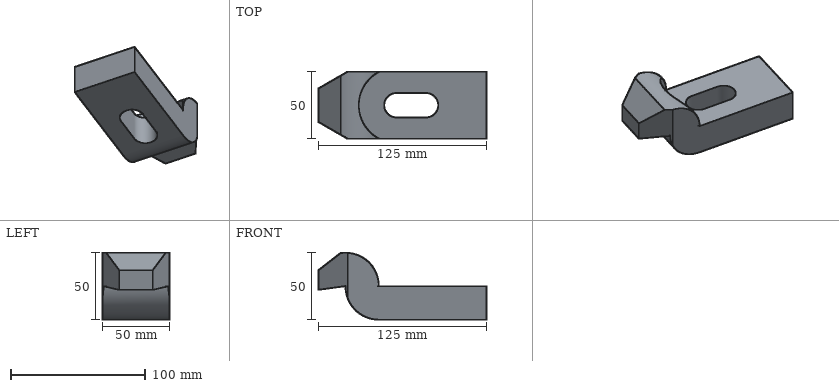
import cadquery as cq
import math

length = 125.0
width = 50.0
thickness = 25.0
height = 2 * thickness

heel_x = 20.0
nose_bottom = 22.2
nose_top = 37.0
nose_width = 25.0
nose_side_angle = 30.0
slope_end_x = 16.5

slot_width = 18.0
slot_length = 40.0
slot_center_x = 69.0
clearance_radius = 28.0

bend_end_x = heel_x + thickness
slope_end_z = thickness + math.sqrt(thickness**2 - (heel_x - slope_end_x) ** 2)
diagonal = thickness * math.sqrt(0.5)


def make_body():
    """Gooseneck side profile extruded across the full width."""
    return (
        cq.Workplane("XZ")
        .moveTo(0, nose_bottom)
        .lineTo(heel_x, thickness)
        .threePointArc((bend_end_x - diagonal, thickness - diagonal), (bend_end_x, 0))
        .lineTo(length, 0)
        .lineTo(length, thickness)
        .lineTo(bend_end_x, thickness)
        .threePointArc((heel_x + diagonal, thickness + diagonal), (slope_end_x, slope_end_z))
        .lineTo(0, nose_top)
        .close()
        .extrude(width / 2, both=True)
    )


def make_nose_cutter(side):
    """Triangular prism that tapers the nose on one side (+1 or -1 along Y)."""
    taper_depth = (width - nose_width) / 2
    taper_length = taper_depth / math.tan(math.radians(nose_side_angle))
    return (
        cq.Workplane("XY")
        .polyline([
            (0, side * nose_width / 2),
            (taper_length, side * width / 2),
            (0, side * width / 2),
        ])
        .close()
        .extrude(height)
    )


def make_slot():
    """Through slot for the clamping bolt."""
    return (
        cq.Workplane("XY")
        .center(slot_center_x, 0)
        .slot2D(slot_length, slot_width)
        .extrude(thickness)
    )


def make_clearance():
    """Round clearance above the clamping face, centred on the slot's front end."""
    center_x = slot_center_x - (slot_length - slot_width) / 2
    return (
        cq.Workplane("XY", origin=(center_x, 0, thickness))
        .circle(clearance_radius)
        .extrude(thickness)
    )


result = make_body().cut(make_slot()).cut(make_clearance())
for side in (1, -1):
    result = result.cut(make_nose_cutter(side))